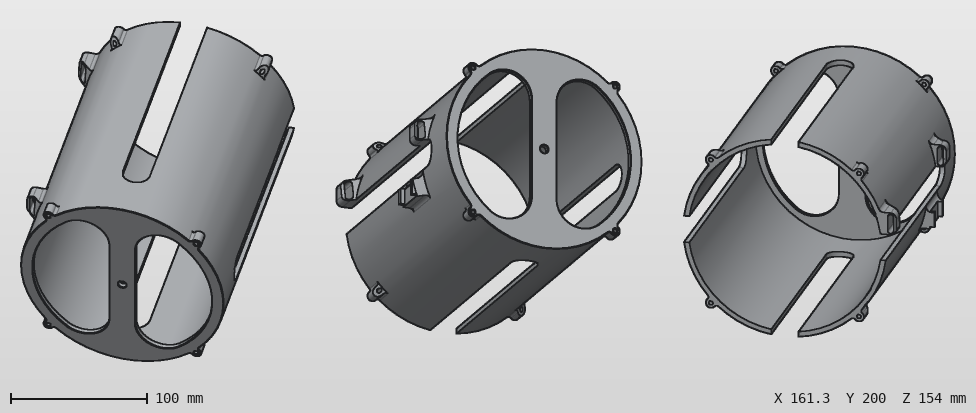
import cadquery as cq
import math

LENGTH = 200.0
SHELL_RADIUS = 77.0
WALL = 4.0
PLATE_THICKNESS = 4.0
FRONT_CHAMFER = 0.5

WINDOW_RADIUS = 68.0
WINDOW_CORNER_RADIUS = 20.0
BAR_WIDTH = 20.0
CENTRE_HOLE_DIAMETER = 6.0

SLOT_WIDTH = 20.5
SLOT_FRONT = 30.0

FLAT_LENGTH = 10.0
RAMP_LENGTH = 6.3

LUG_OFFSET = 56.0
LUG_CENTRE_RADIUS = LUG_OFFSET * math.sqrt(2)
LUG_RADIUS = 3.85
LUG_HOLE_DIAMETER = 3.0
LUG_FILLET = 2.0
FRONT_LUG_LENGTH = 10.0

GUIDE_REACH = 84.31
GUIDE_BOTTOM = SLOT_WIDTH / 2
GUIDE_TOP = 27.3
GUIDE_CORNER_RADIUS = 4.5
GUIDE_HOLE_INNER = 77.7
GUIDE_HOLE_OUTER = 82.3
GUIDE_HOLE_BOTTOM = 11.2
GUIDE_HOLE_TOP = 26.0
GUIDE_HOLE_CORNER_RADIUS = 2.2
REAR_GUIDE_FLAT_LENGTH = 8.0
REAR_GUIDE_RAMP_LENGTH = 11.2
FRONT_GUIDE_REAR = 54.7

CLIP_REAR = 81.2
CLIP_POST_LENGTH = 3.1
CLIP_POCKET_LENGTH = 20.0
CLIP_REACH = 82.2
CLIP_BASE_REACH = 78.8
CLIP_TOP = -15.8
CLIP_POST_BOTTOM = -27.3
CLIP_BASE_BOTTOM = -28.8

ROOT_FILLET = 4.0
EMBED_X = SHELL_RADIUS - 7.0

CLEAR_RADIUS = 1.3 * SHELL_RADIUS


def sketch_plane(y):
    """XZ sketch plane at distance y from the front; extrude(-d) runs toward the rear."""
    return cq.Workplane("XZ", origin=(0, y, 0))


def cylinder(radius, y_front, y_rear):
    return sketch_plane(y_front).circle(radius).extrude(y_front - y_rear)


def block(x_range, y_range, z_range):
    """Box given by its limits along each axis."""
    corner = (x_range[0], y_range[0], z_range[0])
    size = (x_range[1] - x_range[0], y_range[1] - y_range[0], z_range[1] - z_range[0])
    return cq.Workplane("XY").box(*size, centered=False).translate(corner)


def at_each_lug(solid):
    """Four copies of a solid on the +X axis, turned to the lug positions."""
    copies = [solid.rotate((0, 0, 0), (0, 1, 0), 45 + 90 * i) for i in range(4)]
    return copies[0].union(copies[1]).union(copies[2]).union(copies[3])


def ramped(solid, y_root, y_flat):
    """Trim the front of an attachment with a cone that leaves the shell at y_root.

    The 45 degree cone ends at y_flat; anything reaching further out is cut flat there.
    """
    keep = (
        cq.Workplane("XY")
        .moveTo(0, y_root - SHELL_RADIUS)
        .lineTo(SHELL_RADIUS + y_flat - y_root, y_flat)
        .lineTo(CLEAR_RADIUS, y_flat)
        .lineTo(CLEAR_RADIUS, LENGTH)
        .lineTo(0, LENGTH)
        .close()
        .revolve(360, (0, 0, 0), (0, 1, 0))
    )
    return solid.intersect(keep)


def arc_middle(centre, start, end):
    """Midpoint of the shorter arc from start to end around centre."""
    radius = math.dist(centre, start)
    dx = (start[0] + end[0]) / 2 - centre[0]
    dz = (start[1] + end[1]) / 2 - centre[1]
    scale = radius / math.hypot(dx, dz)
    return centre[0] + dx * scale, centre[1] + dz * scale


def shell_contact(fillet_centre):
    """Point where a fillet with this centre touches the shell."""
    share = SHELL_RADIUS / math.hypot(*fillet_centre)
    return fillet_centre[0] * share, fillet_centre[1] * share


def lug(y_front, y_rear):
    """Round lug on the +X axis, blended into the shell by a concave fillet on each side."""
    shell_reach = SHELL_RADIUS + LUG_FILLET
    lug_reach = LUG_RADIUS + LUG_FILLET
    fillet_x = (LUG_CENTRE_RADIUS**2 + shell_reach**2 - lug_reach**2) / (2 * LUG_CENTRE_RADIUS)
    fillet_z = math.sqrt(shell_reach**2 - fillet_x**2)
    centre = (fillet_x, fillet_z)
    shell_x, shell_z = shell_contact(centre)
    share = LUG_RADIUS / lug_reach
    lug_x = LUG_CENTRE_RADIUS + (fillet_x - LUG_CENTRE_RADIUS) * share
    lug_z = fillet_z * share
    middle_x, middle_z = arc_middle(centre, (shell_x, shell_z), (lug_x, lug_z))
    inside_x = SHELL_RADIUS - WALL / 2
    return (
        sketch_plane(y_front)
        .moveTo(inside_x, shell_z)
        .lineTo(shell_x, shell_z)
        .threePointArc((middle_x, middle_z), (lug_x, lug_z))
        .threePointArc((LUG_CENTRE_RADIUS + LUG_RADIUS, 0), (lug_x, -lug_z))
        .threePointArc((middle_x, -middle_z), (shell_x, -shell_z))
        .lineTo(inside_x, -shell_z)
        .close()
        .extrude(y_front - y_rear)
    )


def root_fillet(z_face, y_front, y_rear, side):
    """Fillet web between a level face and the shell on the -X side.

    side is +1 on top of the face and -1 underneath it.
    """
    fillet_z = z_face + side * ROOT_FILLET
    fillet_x = -math.sqrt((SHELL_RADIUS + ROOT_FILLET) ** 2 - fillet_z**2)
    centre = (fillet_x, fillet_z)
    on_face = (fillet_x, z_face)
    on_shell = shell_contact(centre)
    return (
        sketch_plane(y_front)
        .moveTo(*on_face)
        .threePointArc(arc_middle(centre, on_face, on_shell), on_shell)
        .lineTo(-EMBED_X, on_shell[1])
        .lineTo(-EMBED_X, z_face)
        .close()
        .extrude(y_front - y_rear)
    )


def guide(y_rear, flat_length, ramp_length):
    """Guide loop, rounded on the outside, filleted on top and ramped at the front."""
    y_flat = y_rear - flat_length
    y_root = y_flat - ramp_length
    body = block((-GUIDE_REACH, -EMBED_X), (y_root, y_rear), (GUIDE_BOTTOM, GUIDE_TOP))
    body = body.edges("|Y and <X").fillet(GUIDE_CORNER_RADIUS)
    body = body.union(root_fillet(GUIDE_TOP, y_root, y_rear, 1))
    return ramped(body, y_root, y_flat)


def guide_hole():
    """Rounded rectangular passage through both guides."""
    x_range = (-GUIDE_HOLE_OUTER, -GUIDE_HOLE_INNER)
    z_range = (GUIDE_HOLE_BOTTOM, GUIDE_HOLE_TOP)
    return block(x_range, (0, LENGTH), z_range).edges("|Y").fillet(GUIDE_HOLE_CORNER_RADIUS)


def clip():
    """Clip base with two posts, filleted above and below and ramped at the front."""
    pocket_rear = CLIP_REAR - CLIP_POST_LENGTH
    pocket_front = pocket_rear - CLIP_POCKET_LENGTH
    y_flat = pocket_front - CLIP_POST_LENGTH
    y_root = y_flat - RAMP_LENGTH
    y_range = (y_root, CLIP_REAR)
    body = block((-CLIP_BASE_REACH, -EMBED_X), y_range, (CLIP_BASE_BOTTOM, CLIP_TOP))
    body = body.union(block((-CLIP_REACH, -EMBED_X), y_range, (CLIP_POST_BOTTOM, CLIP_TOP)))
    body = body.union(root_fillet(CLIP_TOP, y_root, CLIP_REAR, 1))
    body = body.union(root_fillet(CLIP_BASE_BOTTOM, y_root, CLIP_REAR, -1))
    pocket_x = (-CLIP_REACH, -CLIP_BASE_REACH)
    pocket = block(pocket_x, (pocket_front, pocket_rear), (CLIP_BASE_BOTTOM, 0))
    return ramped(body.cut(pocket), y_root, y_flat)


def windows():
    """Two D-shaped plate openings, one on each side of a central bar."""
    half_bar = BAR_WIDTH / 2
    disc = cylinder(WINDOW_RADIUS, 0, PLATE_THICKNESS)
    bar = block((-half_bar, half_bar), (0, PLATE_THICKNESS), (-WINDOW_RADIUS, WINDOW_RADIUS))
    return disc.cut(bar).edges("|Y").fillet(WINDOW_CORNER_RADIUS)


def slots():
    """Round-ended slots through the shell at the top, the bottom and both sides."""
    radius = SLOT_WIDTH / 2
    straight_front = SLOT_FRONT + radius
    upright = (
        cq.Workplane("XY")
        .moveTo(-radius, LENGTH)
        .lineTo(-radius, straight_front)
        .threePointArc((0, SLOT_FRONT), (radius, straight_front))
        .lineTo(radius, LENGTH)
        .close()
        .extrude(SHELL_RADIUS, both=True)
    )
    return upright.union(upright.rotate((0, 0, 0), (0, 1, 0), 90))


def lug_holes():
    hole = cylinder(LUG_HOLE_DIAMETER / 2, 0, LENGTH)
    return at_each_lug(hole.translate((LUG_CENTRE_RADIUS, 0, 0)))


def rear_lug():
    y_flat = LENGTH - FLAT_LENGTH
    y_root = y_flat - RAMP_LENGTH
    return ramped(lug(y_root, LENGTH), y_root, y_flat)


part = cylinder(SHELL_RADIUS, 0, LENGTH)
part = part.union(at_each_lug(lug(0, FRONT_LUG_LENGTH)))
part = part.cut(cylinder(SHELL_RADIUS - WALL, PLATE_THICKNESS, LENGTH))
part = part.cut(windows())
part = part.cut(cylinder(CENTRE_HOLE_DIAMETER / 2, 0, PLATE_THICKNESS))
part = part.cut(lug_holes())
part = part.faces("<Y").edges().chamfer(FRONT_CHAMFER)

attachments = at_each_lug(rear_lug()).cut(lug_holes())
attachments = attachments.union(guide(LENGTH, REAR_GUIDE_FLAT_LENGTH, REAR_GUIDE_RAMP_LENGTH))
attachments = attachments.union(guide(FRONT_GUIDE_REAR, FLAT_LENGTH, RAMP_LENGTH))
attachments = attachments.union(clip()).cut(guide_hole())
attachments = attachments.cut(cylinder(SHELL_RADIUS - WALL, 0, LENGTH))
part = part.union(attachments)

result = part.cut(slots())